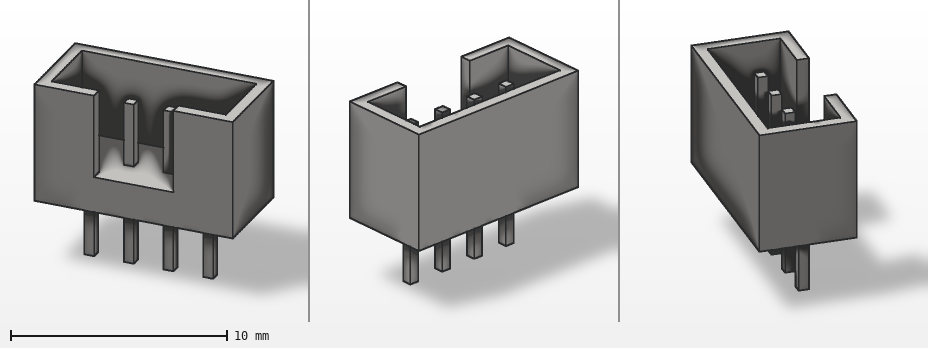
import cadquery as cq

housing_length = 10.0
housing_depth = 4.75
housing_height = 6.0
wall = 0.6
floor_thickness = 1.8

slot_width = 4.0

pin_count = 4
pin_pitch = 2.0
pin_side = 0.5
pin_top = 5.0
pin_tail = 3.2
pin_row_to_front = 2.0

front_y = -pin_row_to_front
cavity_height = housing_height - floor_thickness


def block(length, depth, height, y_min, z_min):
    """Box centred on X = 0, rising from z_min and running back from y_min."""
    box = cq.Workplane("XY").box(length, depth, height, centered=(True, False, False))
    return box.translate((0, y_min, z_min))


def make_housing():
    shell = block(housing_length, housing_depth, housing_height, front_y, 0)
    cavity = block(
        housing_length - 2 * wall,
        housing_depth - 2 * wall,
        cavity_height,
        front_y + wall,
        floor_thickness,
    )
    front_slot = block(slot_width, wall, cavity_height, front_y, floor_thickness)
    return shell.cut(cavity).cut(front_slot)


def make_pin(x):
    pin = block(pin_side, pin_side, pin_tail + pin_top, -pin_side / 2, -pin_tail)
    return pin.translate((x, 0, 0))


result = make_housing()
first_pin_x = -pin_pitch * (pin_count - 1) / 2
for index in range(pin_count):
    result = result.union(make_pin(first_pin_x + index * pin_pitch))